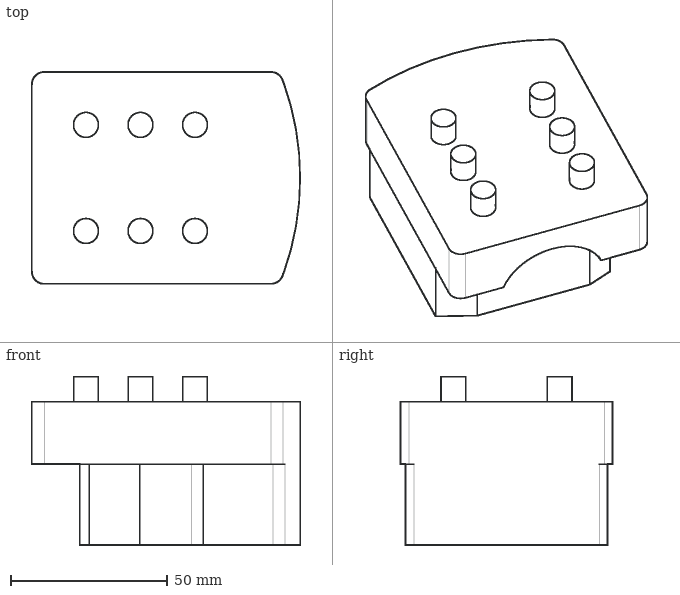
import cadquery as cq
import math

base_height = 26.0
plate_height = 20.05
pin_height = 8.0

length = 86.05
plate_width = 68.0
end_radius = 90.0
corner_radius = 4.05

base_front = 15.3
base_width = 64.8
base_step_y = -27.1
small_chamfer_x = 3.2
small_chamfer_y = 8.3
large_chamfer_x = 4.6
large_chamfer_y = 12.6

groove_start_x = 34.6
groove_end_x = 54.9
groove_radius = 8.5
groove_center_y = -25.4

arch_half_width = 16.8
arch_rise = 11.4

pin_diameter = 8.0
pin_first_x = 17.4
pin_pitch_x = 17.5
pin_spacing_y = 34.0
pins_per_row = 3


def bowed_end_x(y):
    """X of the bowed end at a given Y."""
    return length - end_radius + math.sqrt(end_radius**2 - y**2)


def make_plate():
    half = plate_width / 2
    corner_x = bowed_end_x(half)
    return (
        cq.Workplane("XY", origin=(0, 0, base_height))
        .moveTo(0, -half)
        .lineTo(corner_x, -half)
        .threePointArc((length, 0), (corner_x, half))
        .lineTo(0, half)
        .close()
        .extrude(plate_height)
        .edges("|Z")
        .fillet(corner_radius)
    )


def groove_tangent_point():
    """Point where the flat groove wall runs tangentially into the round bottom."""
    center_x = groove_start_x + groove_radius
    dx = groove_end_x - center_x
    dy = -base_width / 2 - groove_center_y
    angle = math.atan2(dy, dx) + math.acos(groove_radius / math.hypot(dx, dy))
    return (
        center_x + groove_radius * math.cos(angle),
        groove_center_y + groove_radius * math.sin(angle),
    )


def make_base():
    half = base_width / 2
    corner_x = bowed_end_x(half)
    groove_bottom = (groove_start_x + groove_radius, groove_center_y + groove_radius)
    return (
        cq.Workplane("XY")
        .moveTo(base_front, base_step_y + small_chamfer_y)
        .lineTo(base_front + small_chamfer_x, base_step_y)
        .lineTo(groove_start_x, base_step_y)
        .lineTo(groove_start_x, groove_center_y)
        .threePointArc(groove_bottom, groove_tangent_point())
        .lineTo(groove_end_x, -half)
        .lineTo(corner_x, -half)
        .threePointArc((length, 0), (corner_x, half))
        .lineTo(base_front + large_chamfer_x, half)
        .lineTo(base_front, half - large_chamfer_y)
        .close()
        .extrude(base_height)
        .edges(cq.selectors.BoxSelector(
            (corner_x - 0.9, -plate_width, -0.9), (length, plate_width, base_height + 0.9)))
        .edges("|Z")
        .fillet(corner_radius)
    )


def make_arch_recess():
    return (
        cq.Workplane("YZ")
        .moveTo(-arch_half_width, base_height)
        .threePointArc((0, base_height + arch_rise), (arch_half_width, base_height))
        .close()
        .extrude(base_front)
    )


def make_pins():
    centers = [
        (pin_first_x + column * pin_pitch_x, side * pin_spacing_y / 2)
        for column in range(pins_per_row)
        for side in (-1, 1)
    ]
    return (
        cq.Workplane("XY", origin=(0, 0, base_height + plate_height))
        .pushPoints(centers)
        .circle(pin_diameter / 2)
        .extrude(pin_height)
    )


result = make_plate().cut(make_arch_recess()).union(make_base()).union(make_pins())